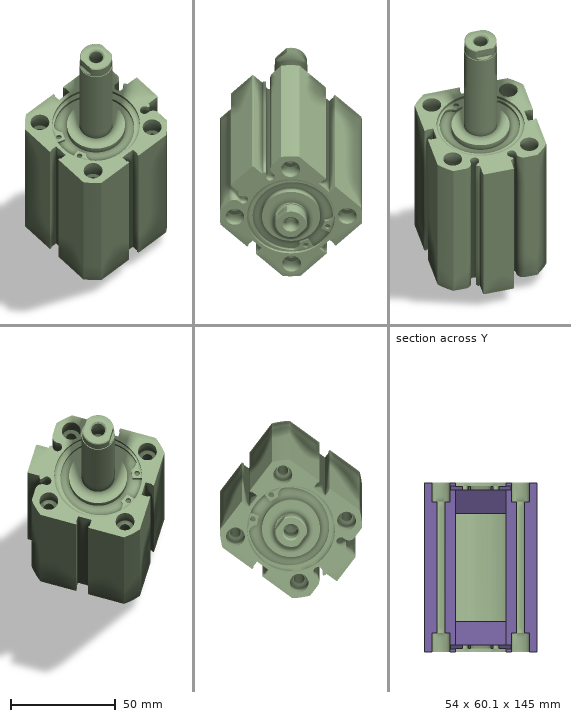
import cadquery as cq
import math


barrel_side = 54.0
barrel_height = 80.9
corner_radius = 34.1
bore_diameter = 42.0

slot_mouth_width = 6.0
slot_inner_width = 6.8
slot_depth = 4.4
slot_lip = 1.0

bolt_pitch = 38.0
bolt_hole_diameter = 5.1
counterbore_diameter = 9.0
counterbore_depth = 9.0

rail_width = 15.2
rail_height = 6.1
rail_edge_radius = 0.5
groove_x = 9.1
groove_y = 22.9
groove_radius = 2.2
tip_x = 9.3
tip_y = 26.0
tip_bevel = 0.9
neck_x = 7.8
neck_y = 24.5
lip_radius = 3.3

cover_recess = 3.2
cover_flange = 11.6
boss_diameter = 27.8
ring_thickness = 1.6
ring_outer_diameter = 44.8
ring_inner_radius = 19.3
ring_eccentricity = 1.3
lug_hole_diameter = 2.6
lug_hole = (7.4, -17.3)
lug_root = (13.3, -15.1)
lug_bend = (10.9, -15.4)
lug_shoulder = (8.5, -14.0)
lug_inner_corner = (4.5, -15.8)
ring_end_x = 6.1

rod_diameter = 16.0
rod_length = 145.0
rod_below_barrel = 7.1
rod_neck_diameter = 15.4
rod_neck_length = 6.0
neck_chamfer = 0.5
flat_width = 13.2
thread_diameter = 6.7
thread_depth = 13.0
thread_chamfer = 0.7
drill_point_angle = 118.0

half_side = barrel_side / 2
ring_outer_radius = ring_outer_diameter / 2
bore_radius = bore_diameter / 2


def mirror_end(workplane):
    """Copy a feature from the top end of the barrel to the bottom end."""
    return workplane.mirror("XY").translate((0, 0, barrel_height))


def t_slot():
    """Cutter for the slot in the -Y face."""
    mouth = cq.Workplane("XY").rect(slot_mouth_width, 2 * slot_depth).extrude(barrel_height)
    inner_depth = slot_depth - slot_lip
    inner = (
        cq.Workplane("XY")
        .center(0, slot_lip + inner_depth / 2)
        .rect(slot_inner_width, inner_depth)
        .extrude(barrel_height)
    )
    return mouth.union(inner).translate((0, -half_side, 0))


def rail():
    """Rail with rounded outer edges, which runs the full height of the +Y face."""
    block = (
        cq.Workplane("XY")
        .center(0, half_side)
        .rect(rail_width, 2 * rail_height)
        .extrude(barrel_height)
    )
    return block.edges("|Z and >Y").fillet(rail_edge_radius)


def rail_groove():
    """Cutter for the groove on the +X side of the rail."""
    pocket = cq.Workplane("XY").center(groove_x, groove_y).circle(groove_radius).extrude(barrel_height)
    lip_x = groove_x + groove_radius
    arc_offset = lip_radius * (1 - math.sqrt(0.5))
    entry = (
        cq.Workplane("XY")
        .moveTo(rail_width / 2, half_side)
        .lineTo(rail_width / 2, tip_y + tip_bevel)
        .lineTo(tip_x - tip_bevel, tip_y + tip_bevel)
        .lineTo(tip_x, tip_y)
        .lineTo(neck_x, neck_y)
        .lineTo(groove_x, groove_y)
        .lineTo(lip_x, groove_y)
        .lineTo(lip_x, half_side - lip_radius)
        .threePointArc(
            (lip_x + arc_offset, half_side - arc_offset),
            (lip_x + lip_radius, half_side),
        )
        .close()
        .extrude(barrel_height)
    )
    return pocket.union(entry)


def mounting_holes():
    """Cutter for the four through holes, counterbored at both ends."""
    pattern = cq.Workplane("XY").rect(bolt_pitch, bolt_pitch, forConstruction=True).vertices()
    holes = pattern.circle(bolt_hole_diameter / 2).extrude(barrel_height)
    counterbores = pattern.circle(counterbore_diameter / 2).extrude(counterbore_depth)
    return holes.union(counterbores).union(mirror_end(counterbores))


def ring_groove():
    """Cutter for the groove that holds the top retaining ring."""
    return (
        cq.Workplane("XY")
        .workplane(offset=barrel_height - cover_recess)
        .circle(ring_outer_radius)
        .extrude(ring_thickness)
    )


def make_barrel():
    body = cq.Workplane("XY").rect(barrel_side, barrel_side).extrude(barrel_height)
    body = body.intersect(cq.Workplane("XY").circle(corner_radius).extrude(barrel_height))
    for angle in (-90, 0, 90):
        body = body.cut(t_slot().rotate((0, 0, 0), (0, 0, 1), angle))
    groove = rail_groove()
    body = body.union(rail()).cut(groove).cut(groove.mirror("YZ"))
    body = body.cut(mounting_holes())
    body = body.cut(cq.Workplane("XY").circle(bore_radius).extrude(barrel_height))
    top_groove = ring_groove()
    return body.cut(top_groove).cut(mirror_end(top_groove))


def make_cover():
    """Top end cover: a flange in the bore and a boss flush with the barrel end."""
    flange_top = barrel_height - cover_recess
    flange = (
        cq.Workplane("XY")
        .workplane(offset=flange_top - cover_flange)
        .circle(bore_radius)
        .extrude(cover_flange)
    )
    cover = flange.faces(">Z").workplane().circle(boss_diameter / 2).extrude(cover_recess)
    rod_passage = cq.Workplane("XY").circle(rod_diameter / 2).extrude(barrel_height)
    return cover.cut(rod_passage)


def mirrored(point):
    return (-point[0], point[1])


def make_ring():
    """Top retaining ring: an eccentric open ring with two drilled lugs towards -Y."""
    ring_end = (ring_end_x, -math.sqrt(ring_outer_radius**2 - ring_end_x**2))
    ring = (
        cq.Workplane("XY")
        .workplane(offset=barrel_height - cover_recess)
        .moveTo(*ring_end)
        .threePointArc((0, ring_outer_radius), mirrored(ring_end))
        .lineTo(*mirrored(lug_inner_corner))
        .lineTo(*mirrored(lug_shoulder))
        .threePointArc(mirrored(lug_bend), mirrored(lug_root))
        .threePointArc((0, ring_inner_radius - ring_eccentricity), lug_root)
        .threePointArc(lug_bend, lug_shoulder)
        .lineTo(*lug_inner_corner)
        .close()
        .extrude(ring_thickness)
    )
    lug_holes = (
        cq.Workplane("XY")
        .pushPoints([lug_hole, mirrored(lug_hole)])
        .circle(lug_hole_diameter / 2)
        .extrude(barrel_height)
    )
    return ring.cut(lug_holes)


def tapped_hole():
    """Cutter for a countersunk blind hole with a drill point, going down from Z = 0."""
    radius = thread_diameter / 2
    point_length = radius / math.tan(math.radians(drill_point_angle / 2))
    return (
        cq.Workplane("XZ")
        .lineTo(radius + thread_chamfer, 0)
        .lineTo(radius, -thread_chamfer)
        .lineTo(radius, -thread_depth)
        .lineTo(0, -thread_depth - point_length)
        .close()
        .revolve(360, (0, 0, 0), (0, 1, 0))
    )


def wrench_flat():
    """Cutter for the flat on the -Y side of a rod end at Z = 0, with a 45 degree run-out."""
    rod_radius = rod_diameter / 2
    run_out = rod_radius - flat_width / 2
    return (
        cq.Workplane("YZ")
        .moveTo(-flat_width / 2, 0)
        .lineTo(-flat_width / 2, run_out - rod_neck_length)
        .lineTo(-rod_radius, -rod_neck_length)
        .lineTo(-rod_radius, 0)
        .close()
        .extrude(rod_radius, both=True)
    )


def make_half_rod():
    """Half of the rod, from its middle up to its end at Z = 0."""
    half_length = rod_length / 2
    shaft = (
        cq.Workplane("XY")
        .workplane(offset=-half_length)
        .circle(rod_diameter / 2)
        .extrude(half_length - rod_neck_length)
    )
    neck = (
        cq.Workplane("XY")
        .workplane(offset=-rod_neck_length)
        .circle(rod_neck_diameter / 2)
        .extrude(rod_neck_length)
        .faces(">Z")
        .chamfer(neck_chamfer)
    )
    flat = wrench_flat()
    return shaft.union(neck).cut(flat).cut(flat.mirror("XZ")).cut(tapped_hole())


def make_rod():
    upper_half = make_half_rod().translate((0, 0, rod_length / 2))
    rod = upper_half.union(upper_half.mirror("XY"))
    return rod.translate((0, 0, rod_length / 2 - rod_below_barrel))


barrel = make_barrel()
rod = make_rod()
cover = make_cover()
ring = make_ring()
covers = [cover, mirror_end(cover)]
rings = [ring, mirror_end(ring)]

result = cq.Compound.makeCompound([body.val() for body in [barrel, rod, *covers, *rings]])